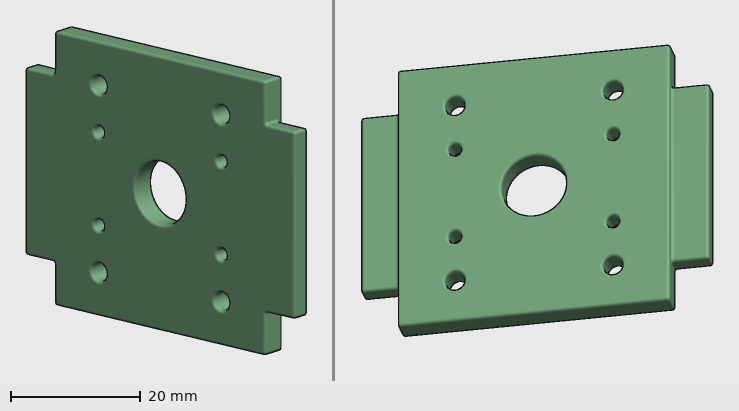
import cadquery as cq

plate_width = 55.0
plate_height = 44.0
plate_thickness = 4.0

wing_length = 6.0
wing_setback = 7.0
wing_step = 1.0

edge_radius = 0.49

bore_diameter = 10.2
large_hole_diameter = 3.0
small_hole_diameter = 2.0
hole_spacing_x = 24.95
large_hole_spacing_z = 30.05
small_hole_spacing_z = 14.95

body_width = plate_width - 2 * wing_length
wing_height = plate_height - 2 * wing_setback
wing_thickness = plate_thickness - wing_step
front_y = -plate_thickness / 2


def front_slab(width, height, thickness):
    """Centred rectangular slab that starts at the front face and extends toward +Y."""
    slab = cq.Workplane("XY").box(width, thickness, height)
    return slab.translate((0, front_y + thickness / 2, 0))


def through_hole(diameter, x=0, z=0):
    """Cutter along Y, as long as the plate is thick."""
    hole = cq.Workplane("XZ").circle(diameter / 2).extrude(plate_thickness / 2, both=True)
    return hole.translate((x, 0, z))


body = front_slab(body_width, plate_height, plate_thickness)
wings = front_slab(plate_width, wing_height, wing_thickness)
plate = body.union(wings)

plate = plate.cut(through_hole(bore_diameter))

for diameter, spacing_z in (
    (large_hole_diameter, large_hole_spacing_z),
    (small_hole_diameter, small_hole_spacing_z),
):
    for side_x in (-1, 1):
        for side_z in (-1, 1):
            x = side_x * hole_spacing_x / 2
            z = side_z * spacing_z / 2
            plate = plate.cut(through_hole(diameter, x, z))

result = plate.edges().fillet(edge_radius)